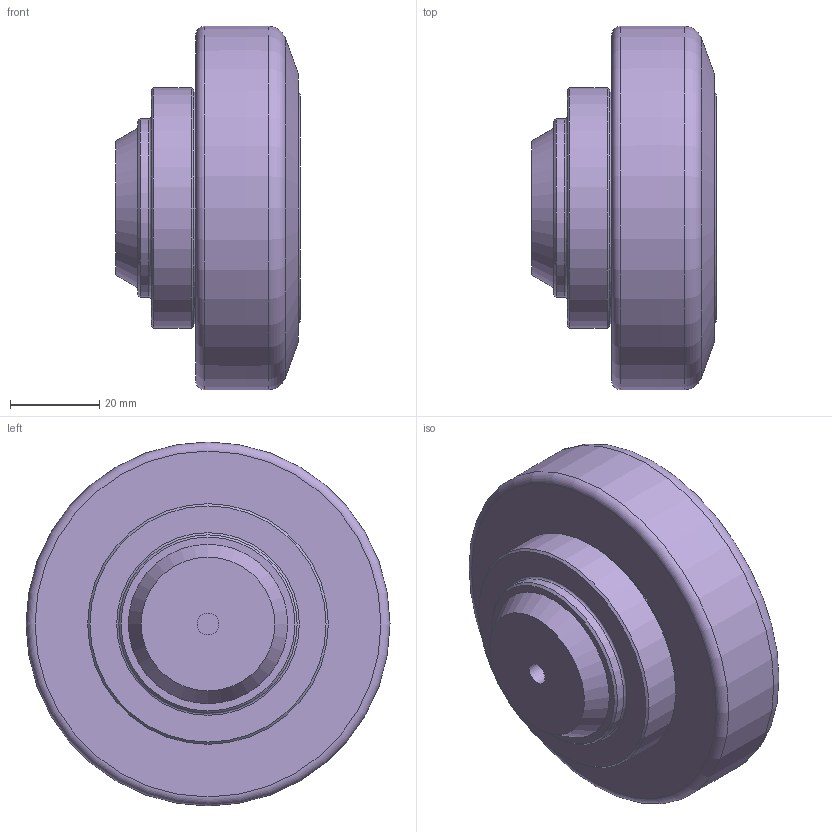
import cadquery as cq
import math

LENGTH = 41.5
COLLAR_START = 5.0
HUB_START = 8.0
HUB_END = 17.5
ROLLER_START = 18.0
ROLLER_END = 41.0

NOSE_RADIUS = 15.0
NOSE_TAPER = math.radians(30)
COLLAR_RADIUS = 40.0 / 2
HUB_RADIUS = 54.0 / 2
NECK_RADIUS = 52.0 / 2
ROLLER_RADIUS = 81.7 / 2
END_BOSS_RADIUS = 52.0 / 2

CHAMFER = 0.5
COLLAR_ROOT_FILLET = 0.5

CROWN_RADIUS = 500.0
CROWN_START = 20.0
CROWN_END = 34.3
FRONT_FILLET = CROWN_START - ROLLER_START
REAR_FILLET = 4.0
REAR_FACE_SLOPE = math.radians(20)

HOLE_DIAMETER = 4.92
HOLE_DEPTH = 5.0


def fillet_midpoint(center_x, center_r, radius, start, end):
    """Point halfway round an arc, with angles measured from the +X axis."""
    angle = (start + end) / 2
    return (center_x + radius * math.cos(angle), center_r + radius * math.sin(angle))


def make_body():
    """Solid of revolution about X; every profile point is (axial position, radius)."""
    nose_base_radius = NOSE_RADIUS + COLLAR_START * math.tan(NOSE_TAPER)
    crown_sag = CROWN_RADIUS - math.sqrt(CROWN_RADIUS**2 - ((CROWN_END - CROWN_START) / 2) ** 2)
    crown_edge_radius = ROLLER_RADIUS - crown_sag

    root_mid = fillet_midpoint(
        HUB_START - COLLAR_ROOT_FILLET,
        COLLAR_RADIUS + COLLAR_ROOT_FILLET,
        COLLAR_ROOT_FILLET,
        -math.pi / 2,
        0,
    )
    front_center_r = crown_edge_radius - FRONT_FILLET
    front_mid = fillet_midpoint(CROWN_START, front_center_r, FRONT_FILLET, math.pi, math.pi / 2)

    rear_center_r = crown_edge_radius - REAR_FILLET
    rear_mid = fillet_midpoint(CROWN_END, rear_center_r, REAR_FILLET, math.pi / 2, REAR_FACE_SLOPE)
    cone_x = CROWN_END + REAR_FILLET * math.cos(REAR_FACE_SLOPE)
    cone_outer_radius = rear_center_r + REAR_FILLET * math.sin(REAR_FACE_SLOPE)
    cone_inner_radius = cone_outer_radius - (ROLLER_END - cone_x) / math.tan(REAR_FACE_SLOPE)
    boss_chamfer = LENGTH - ROLLER_END

    profile = (
        cq.Workplane("XY")
        .moveTo(0, 0)
        .lineTo(0, NOSE_RADIUS)
        .lineTo(COLLAR_START, nose_base_radius)
        .lineTo(COLLAR_START, COLLAR_RADIUS - CHAMFER)
        .lineTo(COLLAR_START + CHAMFER, COLLAR_RADIUS)
        .lineTo(HUB_START - COLLAR_ROOT_FILLET, COLLAR_RADIUS)
        .threePointArc(root_mid, (HUB_START, COLLAR_RADIUS + COLLAR_ROOT_FILLET))
        .lineTo(HUB_START, HUB_RADIUS - CHAMFER)
        .lineTo(HUB_START + CHAMFER, HUB_RADIUS)
        .lineTo(HUB_END - CHAMFER, HUB_RADIUS)
        .lineTo(HUB_END, HUB_RADIUS - CHAMFER)
        .lineTo(HUB_END, NECK_RADIUS)
        .lineTo(ROLLER_START, NECK_RADIUS)
        .lineTo(ROLLER_START, front_center_r)
        .threePointArc(front_mid, (CROWN_START, crown_edge_radius))
        .threePointArc(((CROWN_START + CROWN_END) / 2, ROLLER_RADIUS), (CROWN_END, crown_edge_radius))
        .threePointArc(rear_mid, (cone_x, cone_outer_radius))
        .lineTo(ROLLER_END, cone_inner_radius)
        .lineTo(ROLLER_END, END_BOSS_RADIUS)
        .lineTo(LENGTH, END_BOSS_RADIUS - boss_chamfer)
        .lineTo(LENGTH, 0)
        .close()
    )
    return profile.revolve(360, (0, 0, 0), (1, 0, 0))


def make_center_hole():
    """Blind round hole drilled along X from the nose face."""
    return cq.Workplane("YZ").circle(HOLE_DIAMETER / 2).extrude(HOLE_DEPTH)


result = make_body().cut(make_center_hole())